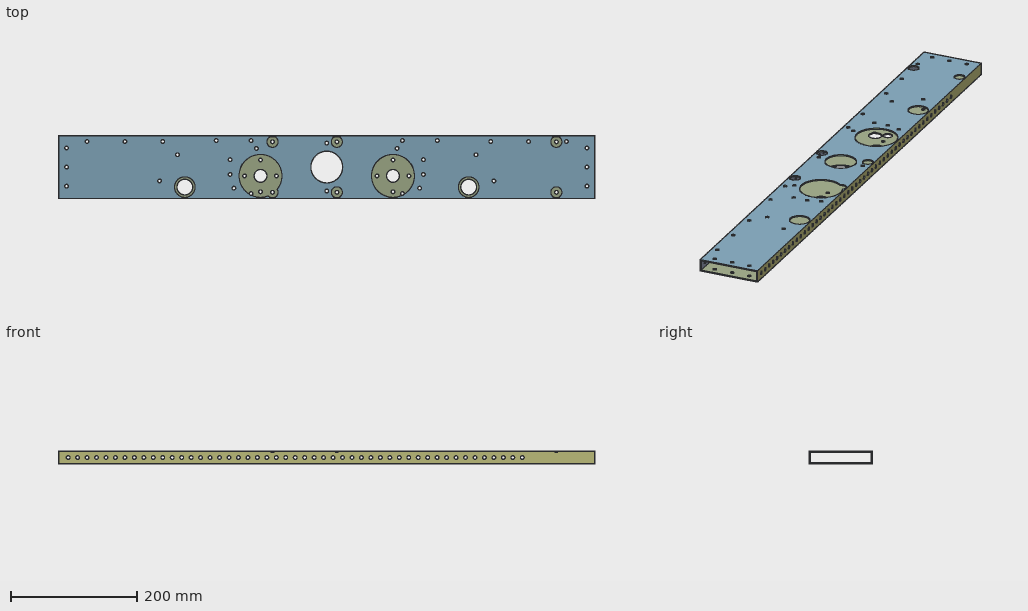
import cadquery as cq

LENGTH = 850.0
WIDTH = 100.0
HEIGHT = 20.0
WALL = 2.0

SMALL_HOLE_DIA = 5.5

SIDE_HOLE_PITCH = 15.0
SIDE_HOLE_COUNT = 49
SIDE_HOLE_MARGIN = 15.0

CENTER_HOLE_DIA = 50.0

MOTOR_X = 105.0
MOTOR_Y = -14.0
MOTOR_OPENING_DIA = 68.0
MOTOR_SHAFT_DIA = 20.0
MOTOR_SCREW_RADIUS = 25.25

STEPPED_X = 225.0
STEPPED_Y = -31.75
STEPPED_TOP_DIA = 32.6
STEPPED_BOTTOM_DIA = 24.6

ACCESS_DIA = 17.5
SCREW_SITE_X = (-86.0, 16.0, 364.0)
SCREW_SITE_Y = 40.0

CABLE_X = 145.0
CABLE_Y = 6.5
CABLE_DIA = 21.0

LOWER_ACCESS_X = 153.2
LOWER_ACCESS_Y = -11.7
LOWER_ACCESS_DIA = 15.0

END_MARGIN = 12.5
END_HOLE_SPACING = 30.25
EDGE_HOLE_X = (260.0, 320.0, 380.0)
EDGE_HOLE_Y = 40.5
BRACKET_HOLES = [
    (111.5, 29.5),
    (120.0, 42.0),
    (120.0, -42.0),
    (LOWER_ACCESS_X, -LOWER_ACCESS_Y),
    (LOWER_ACCESS_X, LOWER_ACCESS_Y),
    (147.3, -33.5),
    (175.3, 42.0),
    (236.7, 19.5),
    (265.0, -22.0),
]
CENTER_PAIR_Y = 38.0


def drill(body, points, diameter, z_from, z_to):
    """Cut round vertical holes between two heights."""
    cutter = (
        cq.Workplane("XY")
        .workplane(offset=z_from)
        .pushPoints(points)
        .circle(diameter / 2)
        .extrude(z_to - z_from)
    )
    return body.cut(cutter)


def drill_top(body, points, diameter):
    return drill(body, points, diameter, HEIGHT / 2 - WALL, HEIGHT / 2)


def drill_bottom(body, points, diameter):
    return drill(body, points, diameter, -HEIGHT / 2, WALL - HEIGHT / 2)


def drill_through(body, points, diameter):
    return drill(body, points, diameter, -HEIGHT / 2, HEIGHT / 2)


def mirrored(points):
    """Return the points together with their mirror images across the YZ plane."""
    return [(side * x, y) for side in (-1, 1) for x, y in points]


def make_tube():
    outside = cq.Workplane("XY").box(LENGTH, WIDTH, HEIGHT)
    inside = cq.Workplane("XY").box(LENGTH, WIDTH - 2 * WALL, HEIGHT - 2 * WALL)
    return outside.cut(inside)


def cut_side_holes(body):
    first_x = -LENGTH / 2 + SIDE_HOLE_MARGIN
    points = [(first_x + i * SIDE_HOLE_PITCH, 0) for i in range(SIDE_HOLE_COUNT)]
    cutter = (
        cq.Workplane("XZ")
        .pushPoints(points)
        .circle(SMALL_HOLE_DIA / 2)
        .extrude(WIDTH / 2, both=True)
    )
    return body.cut(cutter)


def cut_center_opening(body):
    return drill_through(body, [(0, 0)], CENTER_HOLE_DIA)


def cut_motor_mounts(body):
    centers = mirrored([(MOTOR_X, MOTOR_Y)])
    r = MOTOR_SCREW_RADIUS
    screws = [
        (x + dx, y + dy)
        for x, y in centers
        for dx, dy in ((r, 0), (0, r), (-r, 0), (0, -r))
    ]
    body = drill_top(body, centers, MOTOR_OPENING_DIA)
    body = drill_bottom(body, centers, MOTOR_SHAFT_DIA)
    return drill_bottom(body, screws, SMALL_HOLE_DIA)


def cut_stepped_holes(body):
    centers = mirrored([(STEPPED_X, STEPPED_Y)])
    body = drill_top(body, centers, STEPPED_TOP_DIA)
    return drill_bottom(body, centers, STEPPED_BOTTOM_DIA)


def cut_cable_holes(body):
    return drill_bottom(body, mirrored([(CABLE_X, CABLE_Y)]), CABLE_DIA)


def cut_lower_access_holes(body):
    return drill_bottom(body, mirrored([(LOWER_ACCESS_X, LOWER_ACCESS_Y)]), LOWER_ACCESS_DIA)


def cut_screw_sites(body):
    sites = [(x, side * SCREW_SITE_Y) for x in SCREW_SITE_X for side in (-1, 1)]
    body = drill_top(body, sites, ACCESS_DIA)
    return drill_bottom(body, sites, SMALL_HOLE_DIA)


def cut_small_holes(body):
    end_x = LENGTH / 2 - END_MARGIN
    end_holes = [(end_x, row * END_HOLE_SPACING) for row in (-1, 0, 1)]
    edge_holes = [(x, EDGE_HOLE_Y) for x in EDGE_HOLE_X]
    center_pair = [(0, CENTER_PAIR_Y), (0, -CENTER_PAIR_Y)]
    points = mirrored(end_holes + edge_holes + BRACKET_HOLES) + center_pair
    return drill_through(body, points, SMALL_HOLE_DIA)


result = make_tube()
result = cut_side_holes(result)
result = cut_center_opening(result)
result = cut_motor_mounts(result)
result = cut_stepped_holes(result)
result = cut_cable_holes(result)
result = cut_lower_access_holes(result)
result = cut_screw_sites(result)
result = cut_small_holes(result)